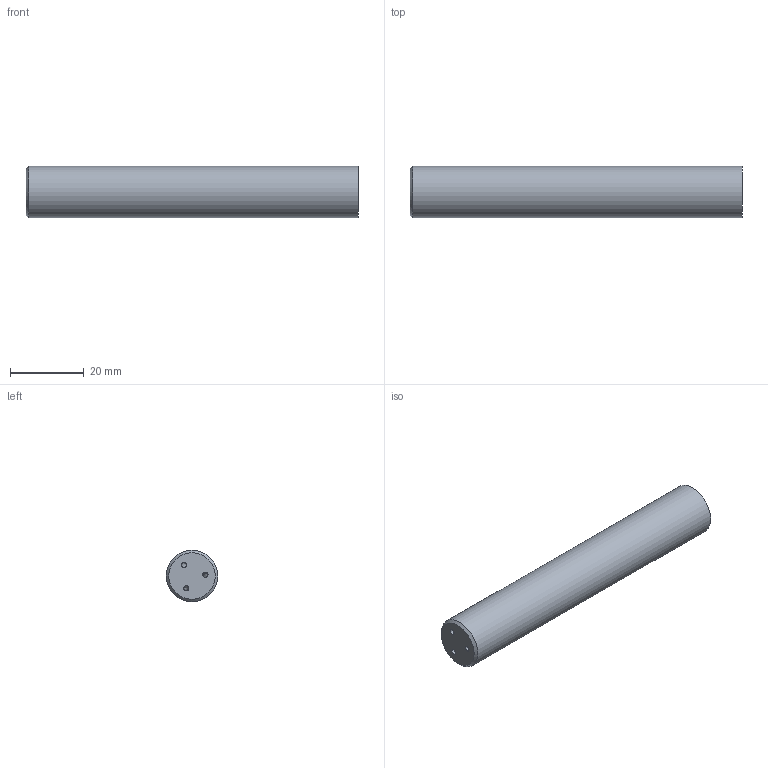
import cadquery as cq
import math

rod_length = 90.0
rod_diameter = 14.0
chamfer_size = 0.7

channel_count = 3
channel_diameter = 1.4
channel_circle_diameter = 7.3
helix_angle = 30.0
first_channel_angle = 0.0

helix_pitch = math.pi * rod_diameter / math.tan(math.radians(helix_angle))
channel_twist = 360.0 * rod_length / helix_pitch


def chamfered_end_plane():
    """Plane of the chamfered end, with its normal along +X."""
    return cq.Workplane("YZ").workplane(offset=-rod_length)


def make_rod():
    """Solid rod with a chamfer around its -X end."""
    rod = chamfered_end_plane().circle(rod_diameter / 2).extrude(rod_length)
    return rod.faces("<X").chamfer(chamfer_size)


def make_channel(plain_end_angle):
    """One channel: a round section that turns about the X axis as it advances."""
    start_angle = math.radians(plain_end_angle - channel_twist)
    circle_radius = channel_circle_diameter / 2
    start_y = circle_radius * math.cos(start_angle)
    start_z = circle_radius * math.sin(start_angle)
    section = chamfered_end_plane().moveTo(start_y, start_z).circle(channel_diameter / 2)
    return section.twistExtrude(rod_length, channel_twist)


result = make_rod()
for index in range(channel_count):
    channel_angle = first_channel_angle + index * 360.0 / channel_count
    result = result.cut(make_channel(channel_angle))